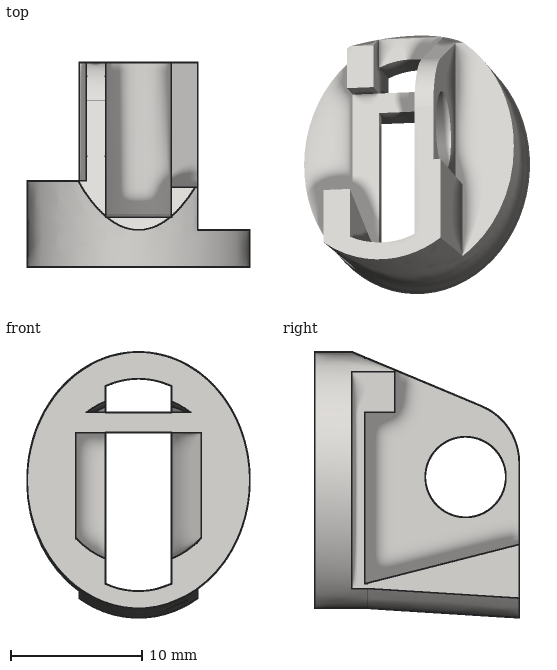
import cadquery as cq
import math

oval_width = 16.98
oval_height = 19.54
left_collar_depth = 6.58
right_collar_depth = 2.84
overall_depth = 15.6

bend_depth = 4.0
rear_drop = 0.73

yoke_width = 9.06
arm_base_top = -2.86
arm_base_step = 0.56
right_shoulder_depth = 6.09
right_rail_rise = 3.0

slant_start_depth = right_collar_depth
slant_slope = 0.4175
arm_corner_radius = 4.7

pin_hole_diameter = 6.12
pin_hole_depth = 11.5
pin_hole_height = 0.23

slot_width = 5.0
slot_oval_width = 13.8
slot_oval_height = 16.16
slot_centre = -0.37
front_plate_depth = 3.82

pocket_width = 9.54
pocket_radius = 6.5
pocket_depth = 2.81
pocket_sink = 0.4

bar_bottom = 3.62
bar_top = 5.15

beyond = 30.0


def box(x_min, x_max, y_min, y_max, z_min, z_max):
    size = (x_max - x_min, y_max - y_min, z_max - z_min)
    return cq.Workplane("XY").box(*size, centered=False).translate((x_min, y_min, z_min))


def side_prism(points, x_min, x_max):
    """Extrude an outline of (Y, Z) points along X."""
    outline = cq.Workplane("YZ", origin=(x_min, 0, 0)).polyline(points).close()
    return outline.extrude(x_max - x_min)


def oval_run(width, height, y_start, z_start, y_end, z_end):
    """Oval bar along Y whose centre moves from z_start to z_end."""
    def oval_wire(y, z):
        centre = cq.Vector(0, y, z)
        long_axis = cq.Vector(0, 0, 1)
        normal = cq.Vector(0, 1, 0)
        if height > width:
            edge = cq.Edge.makeEllipse(height / 2, width / 2, centre, xdir=long_axis, dir=normal)
        else:
            edge = cq.Edge.makeCircle(width / 2, centre, normal)
        return cq.Wire.assembleEdges([edge])

    wires = [oval_wire(y_start, z_start), oval_wire(y_end, z_end)]
    return cq.Workplane(obj=cq.Solid.makeLoft(wires, True))


def bent_oval(width, height, centre):
    """Level oval bar whose underside sinks to the rear behind the bend."""
    level = oval_run(width, height, 0, centre, overall_depth, centre)
    sinking = oval_run(width, height, bend_depth, centre, overall_depth, centre - rear_drop)
    return level.union(sinking)


def side_profile():
    """Side shape with the slanted top and the rounded rear corner."""
    top = oval_height / 2
    rear_top = top - slant_slope * (overall_depth - slant_start_depth)
    slant_angle = math.atan(slant_slope)
    tangent_length = arm_corner_radius * math.tan((math.pi / 2 - slant_angle) / 2)
    slant_tangent = (
        overall_depth - tangent_length * math.cos(slant_angle),
        rear_top + tangent_length * math.sin(slant_angle),
    )
    rear_tangent = (overall_depth, rear_top - tangent_length)
    outline = (
        cq.Workplane("YZ", origin=(-beyond, 0, 0))
        .moveTo(0, -beyond)
        .lineTo(0, beyond)
        .lineTo(slant_start_depth, beyond)
        .lineTo(slant_start_depth, top)
        .lineTo(*slant_tangent)
        .radiusArc(rear_tangent, arm_corner_radius)
        .lineTo(overall_depth, -beyond)
        .close()
    )
    return outline.extrude(2 * beyond)


def make_outer_body():
    body = bent_oval(oval_width, oval_height, 0).intersect(side_profile())
    half_yoke = yoke_width / 2
    left_trim = box(-beyond, -half_yoke, left_collar_depth, beyond, -beyond, beyond)
    right_trim = box(half_yoke, beyond, right_collar_depth, beyond, -beyond, beyond)
    left_step = box(
        -beyond, -half_yoke + arm_base_step, left_collar_depth, beyond, arm_base_top, beyond
    )
    return body.cut(left_trim).cut(right_trim).cut(left_step)


def make_slot():
    """Slot with an oval floor; its roof is open behind the front plate."""
    half_slot = slot_width / 2
    strip = box(-half_slot, half_slot, 0, overall_depth, -beyond, beyond)
    oval_slot = bent_oval(slot_oval_width, slot_oval_height, slot_centre).intersect(strip)
    open_roof = box(
        -half_slot, half_slot, front_plate_depth, overall_depth, slot_centre, beyond
    )
    return oval_slot.union(open_roof)


def make_pocket():
    """Round pocket sinking towards the rear, narrowed by a slanted right wall."""
    round_pocket = oval_run(
        2 * pocket_radius, 2 * pocket_radius, 0, 0, pocket_depth, -pocket_sink
    )
    half_pocket = pocket_width / 2
    half_slot = slot_width / 2
    limits = (
        cq.Workplane("XY", origin=(0, 0, -beyond))
        .polyline([
            (-half_pocket, 0),
            (half_pocket, 0),
            (half_slot, pocket_depth),
            (-half_pocket, pocket_depth),
        ])
        .close()
        .extrude(2 * beyond)
    )
    return round_pocket.intersect(limits)


def make_bar_space():
    """Space of the bar, kept solid across the front plate."""
    return box(-beyond, beyond, 0, front_plate_depth, bar_bottom, bar_top)


def make_right_clearance():
    """Space above the low right rail, below and behind the right shoulder."""
    floor_ratio = slot_width / slot_oval_width
    rail_front = slot_centre - slot_oval_height / 2 * math.sqrt(1 - floor_ratio ** 2)
    outline = [
        (front_plate_depth, rail_front),
        (overall_depth, rail_front + right_rail_rise),
        (overall_depth, beyond),
        (right_shoulder_depth, beyond),
        (right_shoulder_depth, bar_top),
        (front_plate_depth, bar_top),
    ]
    return side_prism(outline, slot_width / 2, beyond)


def make_pin_hole():
    return (
        cq.Workplane("YZ", origin=(-beyond, 0, 0))
        .center(pin_hole_depth, pin_hole_height)
        .circle(pin_hole_diameter / 2)
        .extrude(beyond)
    )


openings = make_slot().union(make_pocket()).cut(make_bar_space())
result = make_outer_body().cut(openings).cut(make_right_clearance()).cut(make_pin_hole())